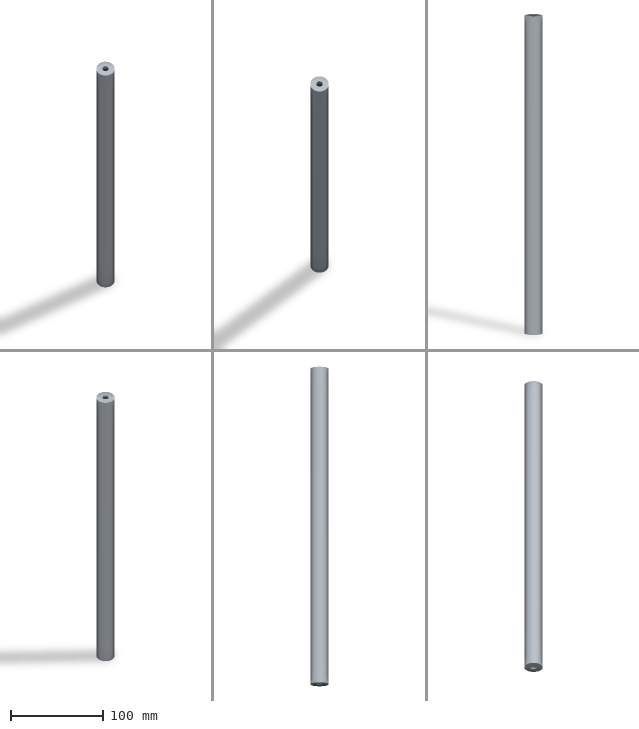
import cadquery as cq

length = 350.0
outer_diameter = 20.0
bore_diameter = 7.0

bottom_plane = cq.Workplane("XY").workplane(offset=-length / 2)
tube_section = bottom_plane.circle(outer_diameter / 2).circle(bore_diameter / 2)
result = tube_section.extrude(length)